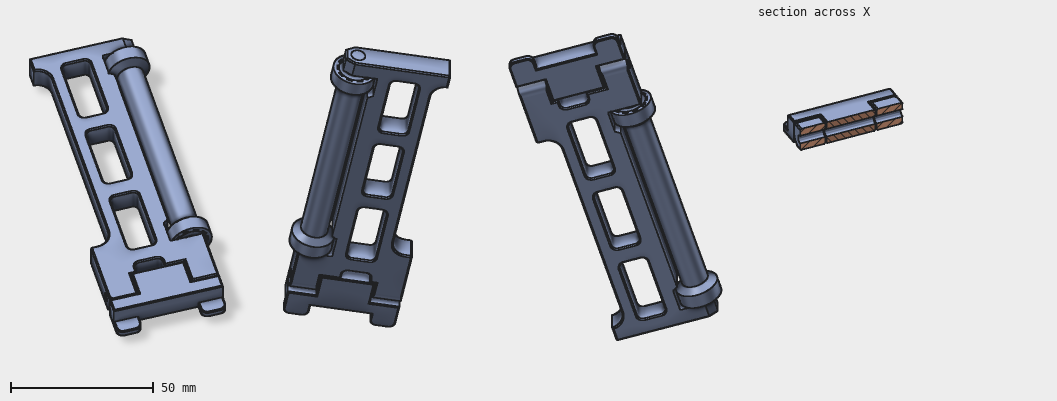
import cadquery as cq
import math

thickness = 9.0
half_thickness = thickness / 2
tolerance = 0.01
frame_chamfer = 0.5
latch_chamfer = 0.4

frame_top_y = 39.8
beam_top_y = 29.4
beam_bottom_y = 7.8
foot_bottom_y = 2.6
foot_width = 5.7
corner_radius = 5.2
head_left_x = 86.5
head_right_x = 110.5

bay_left_x = 5.8
bay_right_x = 91.6
bay_bottom_y = 27.6
bay_step_length = 8.3
bay_ramp_length = 1.2
bay_corner_radius = 0.5

nose_length = 3.2
nose_drop = 2.0

window_count = 4
window_first_x = 5.95
window_length = 24.35
window_pitch = 30.5
window_bottom_y = 12.5
window_top_y = 22.7
window_radius = 2.0

latch_gap = 0.4
tongue_left_x = 101.7
tongue_bottom_y = 10.6
tongue_top_y = 29.6
slot_left_x = tongue_left_x - latch_gap
crossbar_left_x = head_right_x + latch_gap
crossbar_right_x = 116.0
finger_end_x = 121.1
finger_width = 9.0
finger_thickness = 2.7
finger_radius = 2.4
hinge_x = head_right_x - half_thickness
hinge_diameter = 3.0

roller_y = 35.5
axle_diameter = 5.0
axle_socket_depth = bay_left_x
tube_radius = 4.8
wheel_radius = 7.6
wheel_clearance = 1.0
rim_width = 5.1
cone_length = 1.95
bearing_radius = 5.6
bearing_width = 4.0
collar_radius = 3.5

notch_count = 10
notch_width = 1.8
notch_outer_radius = 6.3
notch_depth = notch_outer_radius - bearing_radius

wheel_start_x = bay_left_x + wheel_clearance
hub_end_x = wheel_start_x + rim_width + cone_length
mid_x = (bay_left_x + bay_right_x) / 2


def box(x0, x1, y0, y1, z0=-half_thickness, z1=half_thickness):
    """Block between two opposite corners."""
    return cq.Workplane("XY").box(x1 - x0, y1 - y0, z1 - z0, centered=False).translate((x0, y0, z0))


def rod_x(radius, x0, x1, bore_radius=0):
    """Round bar on the roller axis, bored right through if a bore radius is given."""
    profile = cq.Workplane("YZ", origin=(x0, roller_y, 0)).circle(radius)
    if bore_radius:
        profile = profile.circle(bore_radius)
    return profile.extrude(x1 - x0)


def hinge_hole():
    return (
        cq.Workplane("XZ", origin=(hinge_x, 0, 0))
        .circle(hinge_diameter / 2)
        .extrude(-frame_top_y)
    )


def mirrored(body):
    """Copy of a roller body at the other end of the bay."""
    return body.mirror("YZ", (mid_x, 0, 0))


def frame_blank():
    """Outline of the arm with the bay still filled in."""
    arc_offset = corner_radius * (1 - math.sqrt(0.5))
    return (
        cq.Workplane("XY", origin=(0, 0, -half_thickness))
        .moveTo(0, foot_bottom_y)
        .lineTo(foot_width, foot_bottom_y)
        .threePointArc(
            (foot_width + arc_offset, beam_bottom_y - arc_offset),
            (foot_width + corner_radius, beam_bottom_y),
        )
        .lineTo(head_left_x - corner_radius, beam_bottom_y)
        .threePointArc(
            (head_left_x - arc_offset, beam_bottom_y - arc_offset),
            (head_left_x, beam_bottom_y - corner_radius),
        )
        .lineTo(head_left_x, 0)
        .lineTo(head_right_x, 0)
        .lineTo(head_right_x, frame_top_y)
        .lineTo(0, frame_top_y)
        .close()
        .extrude(thickness)
        .edges("|Z and <Y")
        .chamfer(frame_chamfer)
    )


def windows():
    """Rounded openings in a row along the beam."""
    cutter = cq.Workplane("XY")
    for index in range(window_count):
        left_x = window_first_x + index * window_pitch
        opening = box(left_x, left_x + window_length, window_bottom_y, window_top_y)
        cutter = cutter.add(opening.edges("|Z").fillet(window_radius))
    return cutter.combine()


def roller_bay():
    """Bay open at the far side, deeper at both ends where the wheels run."""
    step_left_x = bay_left_x + bay_step_length
    step_right_x = bay_right_x - bay_step_length
    return (
        cq.Workplane("XY", origin=(0, 0, -half_thickness))
        .polyline([
            (bay_left_x, bay_bottom_y),
            (step_left_x, bay_bottom_y),
            (step_left_x + bay_ramp_length, beam_top_y),
            (step_right_x - bay_ramp_length, beam_top_y),
            (step_right_x, bay_bottom_y),
            (bay_right_x, bay_bottom_y),
            (bay_right_x, frame_top_y),
            (bay_left_x, frame_top_y),
        ])
        .close()
        .extrude(thickness)
        .edges("|Z and <Y and (<X or >X)")
        .fillet(bay_corner_radius)
    )


def nose_cutter(side):
    """Wedge taken off the end wall above (side = 1) or below (side = -1)."""
    return (
        cq.Workplane("YZ")
        .polyline([
            (frame_top_y - nose_length, side * half_thickness),
            (frame_top_y, side * half_thickness),
            (frame_top_y, side * (half_thickness - nose_drop)),
        ])
        .close()
        .extrude(bay_left_x)
    )


def is_chamfered(top_edge):
    """False for the sharp edges that face the latch in the near half of the head."""
    center = top_edge.Center()
    along_y = top_edge.BoundingBox().xlen < tolerance
    beside_latch = center.x > slot_left_x - tolerance and center.y < window_bottom_y
    return not (along_y and beside_latch)


def make_frame():
    frame = frame_blank()
    latch_slot = box(
        slot_left_x, head_right_x,
        tongue_bottom_y - latch_gap, tongue_top_y + latch_gap,
    )
    frame = frame.cut(windows()).cut(latch_slot)
    frame = frame.faces(">Z").edges().filter(is_chamfered).chamfer(frame_chamfer)
    frame = frame.faces("<Z").edges("not >X").chamfer(frame_chamfer)

    hinge_corner = box(hinge_x, head_right_x, 0, frame_top_y, -half_thickness, 0)
    hinge_barrel = (
        cq.Workplane("XZ", origin=(hinge_x, 0, 0))
        .circle(half_thickness)
        .extrude(-frame_top_y)
    )
    frame = frame.cut(hinge_corner.cut(hinge_barrel))

    frame = frame.cut(nose_cutter(1)).cut(nose_cutter(-1))
    frame = frame.faces("<X").edges("not |Y").chamfer(frame_chamfer)
    frame = frame.cut(roller_bay()).cut(hinge_hole())
    return frame.cut(rod_x(axle_diameter / 2, 0, bay_right_x + axle_socket_depth))


def make_latch():
    tongue = box(tongue_left_x, crossbar_right_x, tongue_bottom_y, tongue_top_y)
    crossbar = box(crossbar_left_x, crossbar_right_x, 0, frame_top_y)
    latch = tongue.union(crossbar)
    latch = latch.faces(">Z or <Z").edges().chamfer(latch_chamfer)
    for bottom_y in (0, frame_top_y - finger_width):
        finger = box(
            crossbar_right_x - 2 * latch_chamfer, finger_end_x,
            bottom_y, bottom_y + finger_width,
            -half_thickness, finger_thickness - half_thickness,
        )
        finger = finger.edges("|Z and >X").fillet(finger_radius)
        finger = finger.faces(">Z or <Z").edges("not <X").chamfer(latch_chamfer)
        latch = latch.union(finger)
    return latch.cut(hinge_hole())


def make_wheel():
    """Rim with a cone down to the tube, a bearing seat and notches round the seat."""
    wheel = (
        cq.Workplane("XY")
        .polyline([
            (wheel_start_x, bearing_radius),
            (wheel_start_x, wheel_radius),
            (wheel_start_x + rim_width, wheel_radius),
            (hub_end_x, tube_radius),
            (hub_end_x, axle_diameter / 2),
            (wheel_start_x + bearing_width, axle_diameter / 2),
            (wheel_start_x + bearing_width, bearing_radius),
        ])
        .close()
        .revolve(360, (0, 0, 0), (1, 0, 0))
    )
    notch = (
        cq.Workplane("XY", origin=(0, 0, -notch_width / 2))
        .polyline([
            (wheel_start_x, bearing_radius - notch_depth),
            (wheel_start_x, notch_outer_radius),
            (wheel_start_x + notch_depth, bearing_radius),
            (wheel_start_x + notch_depth, bearing_radius - notch_depth),
        ])
        .close()
        .extrude(notch_width)
    )
    for index in range(notch_count):
        angle = index * 360 / notch_count
        wheel = wheel.cut(notch.rotate((0, 0, 0), (1, 0, 0), angle))
    return wheel.translate((0, roller_y, 0))


def make_bearing():
    """Ring in the wheel seat, with a collar reaching the bay wall."""
    bore_radius = axle_diameter / 2
    ring = rod_x(bearing_radius, wheel_start_x, wheel_start_x + bearing_width, bore_radius)
    collar = rod_x(collar_radius, bay_left_x, wheel_start_x, bore_radius)
    return ring.union(collar)


frame = make_frame()
latch = make_latch()
axle = rod_x(axle_diameter / 2, 0, bay_right_x + axle_socket_depth)
tube = rod_x(tube_radius, hub_end_x, 2 * mid_x - hub_end_x, axle_diameter / 2)

roller_ends = []
for end_body in (make_wheel(), make_bearing()):
    roller_ends += [end_body.val(), mirrored(end_body).val()]

result = cq.Compound.makeCompound([frame.val(), latch.val(), axle.val(), tube.val(), *roller_ends])